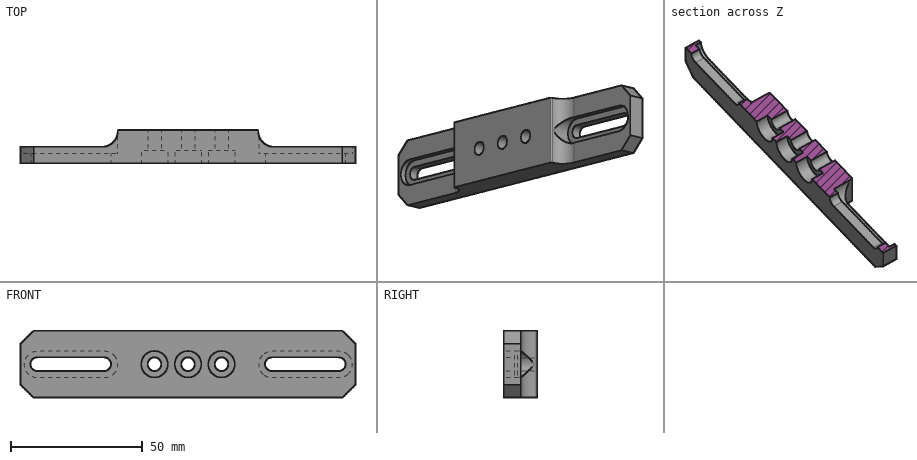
import cadquery as cq
length = 127.0
height = 25.4
thickness = 12.7
corner_chamfer = 5.0

arm_thickness = 6.4
block_half_length = 26.7
block_edge_radius = 0.5
cove_radius = thickness - arm_thickness - block_edge_radius

slot_width = 5.1
slot_length = 30.5
slot_end_margin = 3.8
slot_recess_width = 10.0
slot_recess_floor = 4.0
slot_center = length / 2 - slot_end_margin - slot_length / 2
slot_recess_length = slot_length + slot_recess_width - slot_width

hole_count = 3
hole_pitch = 12.7
hole_diameter = 5.1
counterbore_diameter = 10.0
counterbore_depth = 5.1


def front_sketch(depth):
    """Workplane on an XZ plane at Y = depth, whose normal points to +Y."""
    plane = cq.Plane(origin=(0, depth, 0), xDir=(-1, 0, 0), normal=(0, 1, 0))
    return cq.Workplane(plane)


def make_body():
    """Stepped bar with coved shoulders and chamfered outer corners."""
    cove_start = block_half_length + cove_radius
    block_top = block_half_length - block_edge_radius
    profile = (
        cq.Workplane("XY", origin=(0, 0, -height / 2))
        .moveTo(-length / 2, 0)
        .lineTo(length / 2, 0)
        .lineTo(length / 2, arm_thickness)
        .lineTo(cove_start, arm_thickness)
        .radiusArc((block_half_length, arm_thickness + cove_radius), cove_radius)
        .radiusArc((block_top, thickness), -block_edge_radius)
        .lineTo(-block_top, thickness)
        .radiusArc((-block_half_length, arm_thickness + cove_radius), -block_edge_radius)
        .radiusArc((-cove_start, arm_thickness), cove_radius)
        .lineTo(-length / 2, arm_thickness)
        .close()
    )
    body = profile.extrude(height)
    return body.edges("|Y and (<X or >X)").chamfer(corner_chamfer)


def make_slots():
    """Through slots, with the recess cleared behind each arm."""
    centers = [(-slot_center, 0), (slot_center, 0)]
    slots = front_sketch(0).pushPoints(centers).slot2D(slot_length, slot_width)
    recesses = (
        front_sketch(slot_recess_floor)
        .pushPoints(centers)
        .slot2D(slot_recess_length, slot_recess_width)
    )
    return slots.extrude(thickness).union(recesses.extrude(thickness - slot_recess_floor))


def make_holes():
    """Row of holes along X, counterbored from the front face."""
    holes = front_sketch(0).rarray(hole_pitch, 1.3, hole_count, 1).circle(hole_diameter / 2)
    counterbores = front_sketch(0).rarray(hole_pitch, 1.3, hole_count, 1).circle(counterbore_diameter / 2)
    return holes.extrude(thickness).union(counterbores.extrude(counterbore_depth))


result = make_body().cut(make_slots()).cut(make_holes())